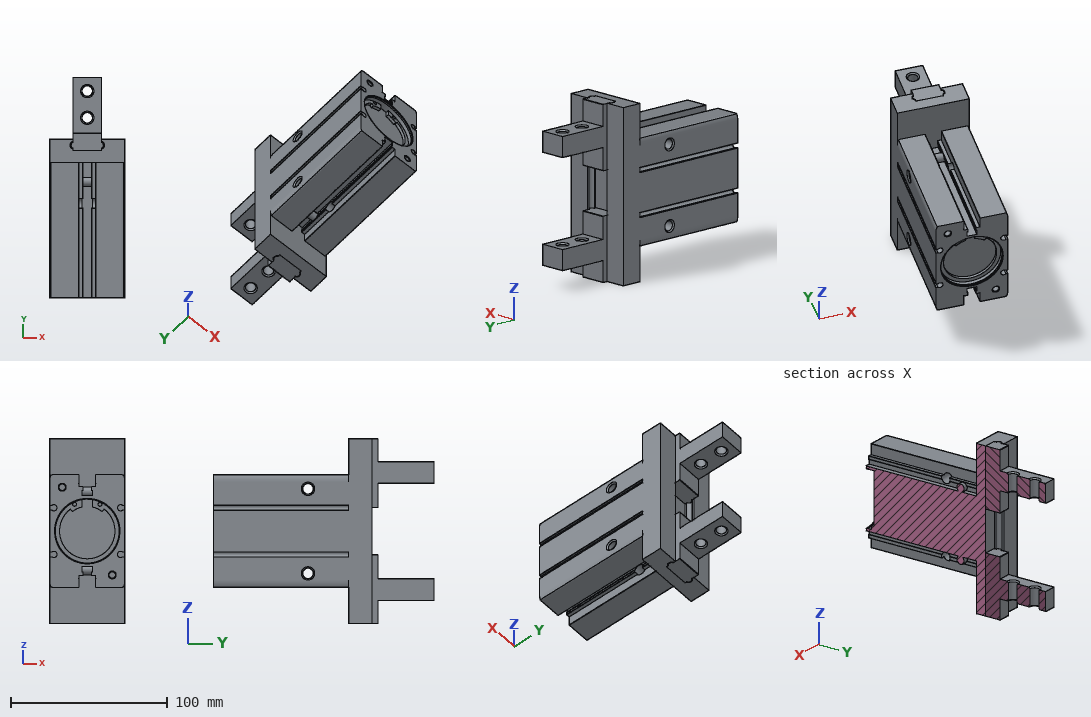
import cadquery as cq
import math


width = 48.0
body_length = 86.4
body_height = 72.0
corner_arc_radius = 10.0
corner_arc_height = 4.4
corner_flat_width = 1.0
corner_flat_height = 0.3
head_length = 15.0
head_height = 118.0
head_front = body_length + head_length

slot_edge_chamfer = 0.2
slot_mouth_width = 10.7
slot_mouth_depth = 7.6
slot_neck_width = 5.5
slot_neck_depth = 10.0
slot_floor_width = 6.5
slot_floor_depth = 13.4

groove_diameter = 4.0
groove_offset = 21.3
groove_mouth_width = 3.0
groove_mouth_chamfer = 0.2
groove_spacing = 29.8

mount_hole_diameter = 6.65
mount_hole_mouth = 8.5
mount_hole_y = 60.4
mount_hole_spacing = 54.0
pin_diameter = 6.0
pin_y = 74.0
pin_spacing = 50.0

bore_entry_diameter = 41.0
bore_entry_depth = 1.4
bore_mouth = 41.8
bore_diameter = 40.8
ring_front = 4.0
ring_thickness = 2.0
ring_inner_diameter = 35.4
bore_depth = ring_front + ring_thickness
ring_gap = 6.4
lug_inner_radius = 15.7
lug_angle = 37.4
ring_eye_diameter = 2.5
ring_eye_x = 8.1
ring_eye_z = 17.1

rear_hole_diameter = 4.13
rear_hole_mouth = 5.0
rear_hole_depth = 10.0
rear_hole_x = 16.0
rear_hole_z = 28.0

jaw_width = 18.4
jaw_length = 44.0
jaw_back = 94.0
jaw_front = 105.2
jaw_end_chamfer = 0.3
finger_tip = 140.9
finger_inner = 30.4
finger_thickness = 14.0
finger_hole_diameter = 6.65
finger_hole_mouth = 8.5
finger_hole_tip_gap = 8.8
finger_hole_pitch = 17.1
finger_hole_count = 2
rail_y = 97.5
rail_x = 8.35
rail_diameter = 4.13
rail_groove_diameter = 5.0


def box(x_range, y_range, z_range):
    """Box between the given limits."""
    lows = [r[0] for r in (x_range, y_range, z_range)]
    sizes = [r[1] - r[0] for r in (x_range, y_range, z_range)]
    return cq.Workplane("XY").box(*sizes, centered=False).translate(tuple(lows))


def centered_box(x_size, y_range, z_range):
    """Box that is symmetric in X."""
    return box((-x_size / 2, x_size / 2), y_range, z_range)


def y_cylinder(diameter, y_range, x=0.0, z=0.0):
    """Cylinder along Y."""
    profile = cq.Workplane("XZ", origin=(x, y_range[0], z)).circle(diameter / 2)
    return profile.extrude(y_range[0] - y_range[1])


def x_cylinder(diameter, y, z):
    """Cylinder along X across the whole width."""
    profile = cq.Workplane("YZ", origin=(-width / 2, y, z)).circle(diameter / 2)
    return profile.extrude(width)


def countersink(diameter, mouth, point, direction):
    """45 degree cone that widens a hole to its mouth; direction points into the hole."""
    depth = (mouth - diameter) / 2
    cone = cq.Solid.makeCone(mouth / 2, diameter / 2, depth, cq.Vector(*point), cq.Vector(*direction))
    return cq.Workplane(cone)


def body_block():
    """Block with bowed corners, each ending in a narrow sloping flat."""
    half_width = width / 2
    half_height = body_height / 2
    arc_start = half_height - corner_arc_height
    arc_end = half_height - corner_flat_height

    def bow(z):
        rise = z - arc_start
        return half_width - corner_arc_radius + math.sqrt(corner_arc_radius**2 - rise**2)

    arc_middle = (arc_start + arc_end) / 2
    x_middle = bow(arc_middle)
    x_end = bow(arc_end)
    x_flat = x_end - corner_flat_width
    profile = (
        cq.Workplane("XZ")
        .moveTo(half_width, -arc_start)
        .lineTo(half_width, arc_start)
        .threePointArc((x_middle, arc_middle), (x_end, arc_end))
        .lineTo(x_flat, half_height)
        .lineTo(-x_flat, half_height)
        .lineTo(-x_end, arc_end)
        .threePointArc((-x_middle, arc_middle), (-half_width, arc_start))
        .lineTo(-half_width, -arc_start)
        .threePointArc((-x_middle, -arc_middle), (-x_end, -arc_end))
        .lineTo(-x_flat, -half_height)
        .lineTo(x_flat, -half_height)
        .lineTo(x_end, -arc_end)
        .threePointArc((x_middle, -arc_middle), (half_width, -arc_start))
        .close()
    )
    return profile.extrude(-body_length)


def edge_bevel(half_width, surface, chamfer):
    """Trapezoidal bar along Y that bevels both edges of a slot mouth at the given surface height."""
    return (
        cq.Workplane("XZ")
        .polyline(
            [
                (-half_width - chamfer, surface),
                (half_width + chamfer, surface),
                (half_width, surface - chamfer),
                (-half_width, surface - chamfer),
            ]
        )
        .close()
        .extrude(-body_length)
    )


def sensor_slot():
    """Three-step slot in the top of the body."""
    steps = (
        (slot_mouth_width, 0.0, slot_mouth_depth),
        (slot_neck_width, slot_mouth_depth, slot_neck_depth),
        (slot_floor_width, slot_neck_depth, slot_floor_depth),
    )
    top = body_height / 2
    slot = cq.Workplane("XY")
    for step_width, start, end in steps:
        slot = slot.add(centered_box(step_width, (0, body_length), (top - end, top - start)))
    slot = slot.combine()
    for step_width, start in ((slot_mouth_width, 0.0), (slot_neck_width, slot_mouth_depth)):
        slot = slot.union(edge_bevel(step_width / 2, top - start, slot_edge_chamfer))
    return slot


def side_groove(side, z):
    """Round groove with a narrower mouth through the side face."""
    groove = y_cylinder(groove_diameter, (0, body_length), side * groove_offset, z)
    x_limits = sorted((side * groove_offset, side * width / 2))
    half_mouth = groove_mouth_width / 2
    groove = groove.union(box(x_limits, (0, body_length), (z - half_mouth, z + half_mouth)))
    bevel = edge_bevel(half_mouth, width / 2, groove_mouth_chamfer)
    turned = bevel.rotate((0, 0, 0), (0, 1, 0), side * 90)
    return groove.union(turned.translate((0, 0, z)))


def mount_hole(z):
    """Hole across the body, countersunk on both sides."""
    hole = x_cylinder(mount_hole_diameter, mount_hole_y, z)
    for side in (-1, 1):
        mouth_point = (side * width / 2, mount_hole_y, z)
        hole = hole.union(countersink(mount_hole_diameter, mount_hole_mouth, mouth_point, (-side, 0, 0)))
    return hole


def rear_hole(side):
    """Blind hole in the rear face; the two holes are diagonally opposite."""
    x = side * rear_hole_x
    z = -side * rear_hole_z
    hole = y_cylinder(rear_hole_diameter, (0, rear_hole_depth), x, z)
    return hole.union(countersink(rear_hole_diameter, rear_hole_mouth, (x, 0, z), (0, 1, 0)))


def retaining_ring():
    """Ring seated in the bore, open at the top between two lugs with a plier eye each."""
    ring_range = (ring_front, bore_depth)
    disc = y_cylinder(bore_diameter, ring_range)
    ring = disc.cut(y_cylinder(ring_inner_diameter, ring_range))
    angle = math.radians(lug_angle)
    edge_x = bore_diameter * math.sin(angle)
    edge_z = bore_diameter * math.cos(angle)
    sector = (
        cq.Workplane("XZ", origin=(0, ring_front, 0))
        .polyline([(0, 0), (edge_x, edge_z), (-edge_x, edge_z)])
        .close()
        .extrude(-ring_thickness)
    )
    lugs = disc.cut(y_cylinder(2 * lug_inner_radius, ring_range)).intersect(sector)
    ring = ring.union(lugs)
    ring = ring.cut(centered_box(ring_gap, ring_range, (0, bore_diameter / 2)))
    for side in (-1, 1):
        ring = ring.cut(y_cylinder(ring_eye_diameter, ring_range, side * ring_eye_x, ring_eye_z))
    return ring


def rail_channel():
    """Channel along the head for the jaws, with a round groove in each wall."""
    z_range = (-head_height / 2, head_height / 2)
    channel = centered_box(jaw_width, (jaw_back, head_front), z_range)
    for side in (-1, 1):
        channel = channel.union(rail(side, rail_groove_diameter, z_range))
    return channel


def rail(side, diameter, z_range):
    """Round rail along Z at one side of the jaw."""
    base = cq.Workplane("XY", origin=(side * rail_x, rail_y, z_range[0]))
    return base.circle(diameter / 2).extrude(z_range[1] - z_range[0])


def make_housing():
    """Cylinder body and guide head, with the pins and the retaining ring as part of it."""
    half_head = head_height / 2
    housing = body_block()
    housing = housing.union(centered_box(width, (body_length, head_front), (-half_head, half_head)))

    slot = sensor_slot()
    housing = housing.cut(slot)
    housing = housing.cut(slot.mirror("XY"))
    for side in (-1, 1):
        for end in (-1, 1):
            housing = housing.cut(side_groove(side, end * groove_spacing / 2))

    for end in (-1, 1):
        housing = housing.cut(mount_hole(end * mount_hole_spacing / 2))
    for side in (-1, 1):
        housing = housing.cut(rear_hole(side))

    housing = housing.cut(y_cylinder(bore_diameter, (0, bore_depth)))
    housing = housing.cut(y_cylinder(bore_entry_diameter, (0, bore_entry_depth)))
    housing = housing.cut(countersink(bore_entry_diameter, bore_mouth, (0, 0, 0), (0, 1, 0)))
    housing = housing.union(retaining_ring())
    housing = housing.cut(rail_channel())

    pins = [x_cylinder(pin_diameter, pin_y, end * pin_spacing / 2) for end in (-1, 1)]
    for pin in pins:
        housing = housing.cut(pin)
    for pin in pins:
        housing = housing.union(pin, clean=False)
    return housing


def make_jaw(end):
    """Sliding jaw with a guided base and a finger, at the top (end = 1) or the bottom (end = -1)."""
    outer = head_height / 2
    inner = outer - jaw_length
    base_range = (inner, outer)
    base = centered_box(jaw_width, (jaw_back, jaw_front), base_range)
    base = base.faces(">Y").edges("|X").chamfer(jaw_end_chamfer)
    for side in (-1, 1):
        base = base.union(rail(side, rail_diameter, base_range))

    finger_range = (finger_inner, finger_inner + finger_thickness)
    jaw = base.union(centered_box(jaw_width, (jaw_back, finger_tip), finger_range))

    for number in range(finger_hole_count):
        y = finger_tip - finger_hole_tip_gap - number * finger_hole_pitch
        hole = cq.Workplane("XY", origin=(0, y, finger_range[0])).circle(finger_hole_diameter / 2)
        jaw = jaw.cut(hole.extrude(finger_thickness))
        for z, direction in ((finger_range[0], 1), (finger_range[1], -1)):
            jaw = jaw.cut(countersink(finger_hole_diameter, finger_hole_mouth, (0, y, z), (0, 0, direction)))

    return jaw if end > 0 else jaw.mirror("XY")


housing = make_housing()
jaws = [make_jaw(end) for end in (1, -1)]

result = cq.Compound.makeCompound([housing.val(), *[jaw.val() for jaw in jaws]])